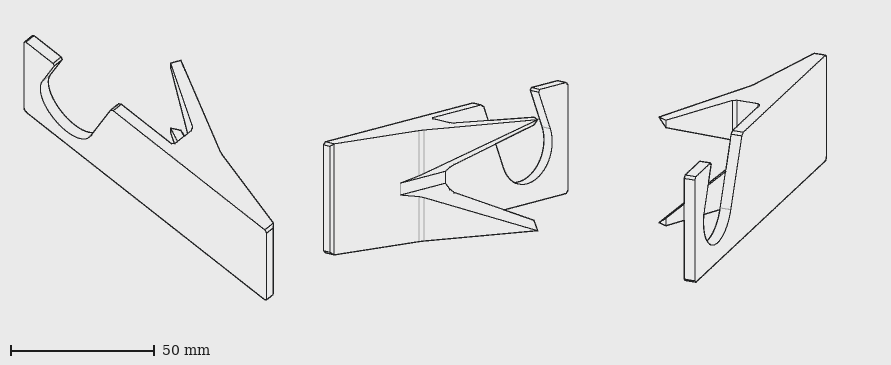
import cadquery as cq
import math

length = 119.0
height = 40.0
plate_thickness = 4.0
corner_bevel = 1.0

slot_x = 20.7
slot_z = height / 2
slot_radius = 12.7
slot_lean = math.radians(22.5)

root_x = 69.1
prong_tip_x = 44.9
prong_tip_y = 32.4
prong_end_width = 3.8
bend_x = 83.5
bend_y = 13.2
underside_angle = math.radians(30)

notch_floor_y = 11.1
notch_floor_width = 4.3


def make_body():
    """Plate and prong as one profile in XY, extruded over the full height."""
    prong_angle = math.atan2(prong_tip_y - bend_y, bend_x - prong_tip_x)
    end_x = prong_tip_x - prong_end_width * math.sin(prong_angle)
    end_y = prong_tip_y - prong_end_width * math.cos(prong_angle)
    root_top_y = end_y - (root_x - end_x) * math.tan(underside_angle)
    body = (
        cq.Workplane("XY")
        .polyline([
            (0, 0),
            (length, 0),
            (length, plate_thickness),
            (bend_x, bend_y),
            (prong_tip_x, prong_tip_y),
            (end_x, end_y),
            (root_x, root_top_y),
            (root_x, plate_thickness),
            (0, plate_thickness),
        ])
        .close()
        .extrude(height)
    )

    def upright_edge(x, y):
        return cq.selectors.NearestToPointSelector((x, y, height / 2))

    bevelled_edges = [
        (length, plate_thickness),
        (bend_x, bend_y),
        (root_x, root_top_y),
        (root_x, plate_thickness),
    ]
    for x, y in bevelled_edges:
        body = body.edges(upright_edge(x, y)).chamfer(corner_bevel)
    return body


def make_end_corner_cuts():
    """Small wedges that bevel the four outer corners in the XZ outline."""
    cuts = cq.Workplane("XZ")
    for x, inward_x in [(0, corner_bevel), (length, -corner_bevel)]:
        for z, inward_z in [(0, corner_bevel), (height, -corner_bevel)]:
            cuts = cuts.moveTo(x, z).lineTo(x + inward_x, z).lineTo(x, z + inward_z).close()
    return cuts.extrude(-prong_tip_y)


def make_slot():
    """Leaning slot with bevelled corners at its mouth."""
    sine = math.sin(slot_lean)
    cosine = math.cos(slot_lean)
    side_x = slot_radius * cosine
    side_z = slot_radius * sine
    mouth_shift = (height - slot_z) * math.tan(slot_lean)
    mouth_half = slot_radius / cosine
    mouth_left = slot_x + mouth_shift - mouth_half
    mouth_right = slot_x + mouth_shift + mouth_half
    bevel_x = corner_bevel * sine
    bevel_z = height - corner_bevel * cosine
    return (
        cq.Workplane("XZ")
        .moveTo(mouth_left - corner_bevel, height)
        .lineTo(mouth_left - bevel_x, bevel_z)
        .lineTo(slot_x - side_x, slot_z + side_z)
        .threePointArc(
            (slot_x + side_z, slot_z - side_x),
            (slot_x + side_x, slot_z - side_z),
        )
        .lineTo(mouth_right - bevel_x, bevel_z)
        .lineTo(mouth_right + corner_bevel, height)
        .close()
        .extrude(-plate_thickness)
    )


def make_notch():
    """V with a flat floor, running along X and widening to the prong tip."""
    middle = height / 2
    half_floor = notch_floor_width / 2
    return (
        cq.Workplane("YZ")
        .polyline([
            (notch_floor_y, middle - half_floor),
            (prong_tip_y, 0),
            (prong_tip_y, height),
            (notch_floor_y, middle + half_floor),
        ])
        .close()
        .extrude(length)
    )


result = make_body().cut(make_end_corner_cuts()).cut(make_slot()).cut(make_notch())